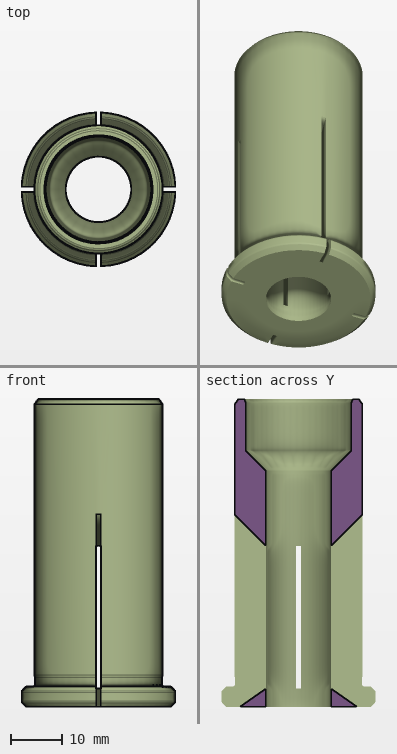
import cadquery as cq
import math

height = 60.0
flange_radius = 15.0
body_radius = 25.0 / 2

flange_height = 4.0
flange_chamfer = 0.95
flange_edge_round = 0.5

groove_radius = 12.4
groove_fillet = 0.3
groove_top = 5.8
groove_taper_top = 6.3

rim_chamfer_width = 0.8
rim_chamfer_height = 1.1
rim_round = 0.5

mouth_radius = 20.5 / 2
mouth_chamfer_width = 0.3
mouth_chamfer_height = 0.7
passage_radius = 12.7 / 2
seat_top = 49.9
seat_bottom = seat_top - (mouth_radius - passage_radius)

slot_count = 4
slot_width = 0.95
slot_top_outside = 37.5
slot_top_inside = slot_top_outside - (body_radius - passage_radius)
slot_floor_inside = 3.6
slot_floor_angle = 35.0
slot_floor_slope = math.tan(math.radians(slot_floor_angle))
slot_floor_outside_radius = passage_radius + slot_floor_inside / slot_floor_slope
slot_outer_radius = flange_radius + 0.6


def revolve_profile(profile):
    """Revolve a closed radius-height outline around Z."""
    return profile.close().revolve(360, (0, 0, 0), (0, 1, 0))


def make_flange():
    flange = cq.Workplane("XY").circle(flange_radius).extrude(flange_height)
    flange = flange.faces("<Z or >Z").edges().chamfer(flange_chamfer)
    flange_rims = flange.edges(cq.selectors.RadiusNthSelector(-1))
    flange = flange_rims.fillet(flange_edge_round)
    return flange.faces(">Z").edges().fillet(flange_edge_round)


def make_body():
    body = revolve_profile(
        cq.Workplane("XZ")
        .lineTo(groove_radius, 0)
        .lineTo(groove_radius, groove_top)
        .lineTo(body_radius, groove_taper_top)
        .lineTo(body_radius, height - rim_chamfer_height)
        .lineTo(body_radius - rim_chamfer_width, height)
        .lineTo(0, height)
    )
    return body.faces(">Z").edges().fillet(rim_round)


def make_groove_fillet():
    """Ring that rounds the corner between groove and flange."""
    return revolve_profile(
        cq.Workplane("XZ")
        .moveTo(groove_radius - groove_fillet, flange_height - groove_fillet)
        .lineTo(groove_radius + groove_fillet, flange_height - groove_fillet)
        .lineTo(groove_radius + groove_fillet, flange_height)
        .radiusArc((groove_radius, flange_height + groove_fillet), groove_fillet)
        .lineTo(groove_radius - groove_fillet, flange_height + groove_fillet)
    )


def make_bore():
    return revolve_profile(
        cq.Workplane("XZ")
        .lineTo(passage_radius, 0)
        .lineTo(passage_radius, seat_bottom)
        .lineTo(mouth_radius, seat_top)
        .lineTo(mouth_radius, height - mouth_chamfer_height)
        .lineTo(mouth_radius + mouth_chamfer_width, height)
        .lineTo(0, height)
    )


def make_slot():
    """One radial slot pointing along +X, narrowing in height toward the axis."""
    top_slope_run = slot_outer_radius - passage_radius
    return (
        cq.Workplane("XZ")
        .moveTo(0, slot_floor_inside + passage_radius * slot_floor_slope)
        .lineTo(slot_floor_outside_radius, 0)
        .lineTo(slot_outer_radius, 0)
        .lineTo(slot_outer_radius, slot_top_inside + top_slope_run)
        .lineTo(0, slot_top_inside - passage_radius)
        .close()
        .extrude(slot_width / 2, both=True)
    )


result = make_flange().union(make_body()).union(make_groove_fillet()).cut(make_bore())
slot = make_slot()
for index in range(slot_count):
    result = result.cut(slot.rotate((0, 0, 0), (0, 0, 1), index * 360 / slot_count))